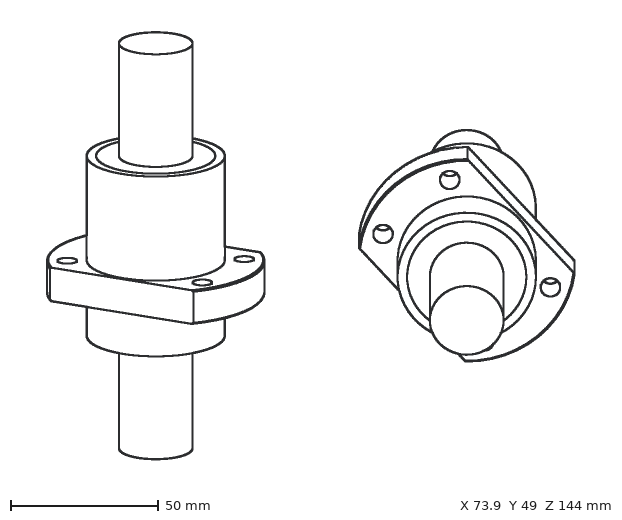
import cadquery as cq
import math

shaft_length = 144.0
shaft_diameter = 25.0
nut_diameter = 47.0
nut_length = 64.0
flange_diameter = 73.9
flange_width = 49.0
flange_thickness = 12.0
flange_setback = 15.0
flange_chamfer = 0.5
seal_diameter = 40.5
seal_thickness = 4.0
bolt_circle_diameter = 60.0
bolt_hole_diameter = 6.6
bolt_angle = 30.0

nut_bottom = -nut_length / 2
nut_top = nut_length / 2
flange_bottom = nut_bottom + flange_setback
seal_bottoms = (nut_bottom, nut_top - seal_thickness)


def cylinder(diameter, bottom, height):
    """Upright cylinder on the Z axis."""
    return cq.Workplane("XY", origin=(0, 0, bottom)).circle(diameter / 2).extrude(height)


def make_shaft():
    return cylinder(shaft_diameter, -shaft_length / 2, shaft_length)


def make_flange():
    """Chamfered disc trimmed to two flats and drilled for four bolts."""
    disc = cylinder(flange_diameter, flange_bottom, flange_thickness).edges("%CIRCLE").chamfer(flange_chamfer)
    flats = cq.Workplane("XY", origin=(0, 0, flange_bottom)).rect(flange_diameter, flange_width)
    flange = disc.intersect(flats.extrude(flange_thickness))

    hole_x = bolt_circle_diameter / 2 * math.cos(math.radians(bolt_angle))
    hole_y = bolt_circle_diameter / 2 * math.sin(math.radians(bolt_angle))
    holes = (
        cq.Workplane("XY", origin=(0, 0, flange_bottom))
        .rect(2 * hole_x, 2 * hole_y, forConstruction=True)
        .vertices()
        .circle(bolt_hole_diameter / 2)
        .extrude(flange_thickness)
    )
    return flange.cut(holes)


def make_nut():
    """Flanged barrel with a shaft bore and a seal recess in each end."""
    nut = cylinder(nut_diameter, nut_bottom, nut_length).union(make_flange())
    nut = nut.cut(cylinder(shaft_diameter, nut_bottom, nut_length))
    for bottom in seal_bottoms:
        nut = nut.cut(cylinder(seal_diameter, bottom, seal_thickness))
    return nut.solids()


def make_seal(bottom):
    """Ring filling a nut recess, flush with the nut end."""
    ring = cylinder(seal_diameter, bottom, seal_thickness)
    return ring.cut(cylinder(shaft_diameter, bottom, seal_thickness)).solids()


shaft = make_shaft()
nut = make_nut()
seals = [make_seal(bottom) for bottom in seal_bottoms]

result = cq.Compound.makeCompound([shaft.val(), nut.val(), *[seal.val() for seal in seals]])